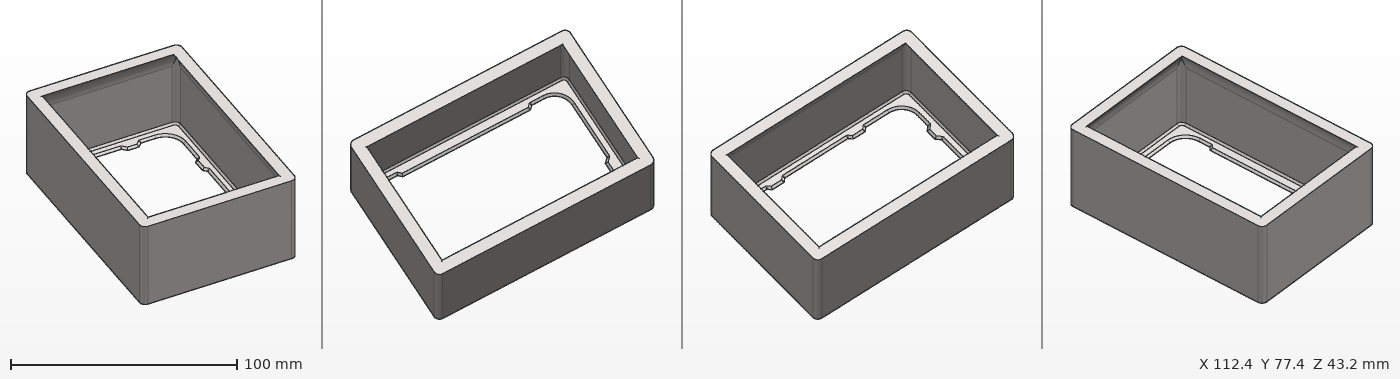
import cadquery as cq

LENGTH = 112.4
WIDTH = 77.4
HEIGHT = 43.2
CORNER_RADIUS = 2.8

WALL = 1.5
RIM_WALL = 6.0
RIM_CURVE_HEIGHT = 10.1
FLOOR = 1.0
FLOOR_CHAMFER = 1.0

WINDOW_INSET_X = 6.3
WINDOW_INSET_Y = 6.0
WINDOW_RADIUS = 9.0
BEVEL_ANGLE = 50

TAB_DEPTH = 1.7
BACK_TAB_SPACING = 45.6
BACK_TAB_TIP = 6.7
SIDE_TAB_DEPTH = 2.1
SIDE_TAB_Y = 11.5
SIDE_TAB_TIP = 5.6
FRONT_TAB_TIP = 65.6

CAVITY_LENGTH = LENGTH - 2 * WALL
CAVITY_WIDTH = WIDTH - 2 * WALL
CURVE_START = HEIGHT - RIM_CURVE_HEIGHT
RIM_OVERHANG = RIM_WALL - WALL
RIM_CURVE_RADIUS = (RIM_OVERHANG**2 + RIM_CURVE_HEIGHT**2) / (2 * RIM_OVERHANG)


def rim_cutter(half_span, run_length):
    """Prism along Y whose two sides lean inward along the rim curve."""
    half_opening = half_span - RIM_OVERHANG
    profile = (
        cq.Workplane("XZ")
        .moveTo(-half_span, 0)
        .lineTo(half_span, 0)
        .lineTo(half_span, CURVE_START)
        .radiusArc((half_opening, HEIGHT), -RIM_CURVE_RADIUS)
        .lineTo(-half_opening, HEIGHT)
        .radiusArc((-half_span, CURVE_START), -RIM_CURVE_RADIUS)
        .close()
    )
    return profile.extrude(run_length / 2, both=True)


def make_cavity():
    block = (
        cq.Workplane("XY", origin=(0, 0, FLOOR))
        .rect(CAVITY_LENGTH, CAVITY_WIDTH)
        .extrude(HEIGHT - FLOOR)
        .edges("|Z")
        .fillet(CORNER_RADIUS)
        .faces("<Z")
        .chamfer(FLOOR_CHAMFER)
    )
    side_curves = rim_cutter(CAVITY_LENGTH / 2, CAVITY_WIDTH)
    end_curves = rim_cutter(CAVITY_WIDTH / 2, CAVITY_LENGTH).rotate((0, 0, 0), (0, 0, 1), 90)
    return block.intersect(side_curves).intersect(end_curves)


def make_window():
    half_x = LENGTH / 2 - WINDOW_INSET_X
    half_y = WIDTH / 2 - WINDOW_INSET_Y
    corner_x = half_x - WINDOW_RADIUS
    corner_y = half_y - WINDOW_RADIUS

    def tab(center, tip, depth):
        """Outline points as (position along the edge, distance into the window)."""
        half_tip = tip / 2
        half_base = half_tip + depth
        return [
            (center - half_base, 0),
            (center - half_tip, depth),
            (center + half_tip, depth),
            (center + half_base, 0),
        ]

    front_tab = tab(0, FRONT_TAB_TIP, TAB_DEPTH)
    side_tab = tab(SIDE_TAB_Y, SIDE_TAB_TIP, SIDE_TAB_DEPTH)
    left_back_tab = tab(-BACK_TAB_SPACING / 2, BACK_TAB_TIP, TAB_DEPTH)
    right_back_tab = tab(BACK_TAB_SPACING / 2, BACK_TAB_TIP, TAB_DEPTH)

    front_edge = [(x, -half_y + inset) for x, inset in front_tab]
    right_edge = [(half_x - inset, y) for y, inset in side_tab]
    back_edge = [(x, half_y - inset) for x, inset in reversed(left_back_tab + right_back_tab)]
    left_edge = [(-half_x + inset, y) for y, inset in reversed(side_tab)]

    outline = (
        cq.Workplane("XY")
        .moveTo(-corner_x, -half_y)
        .polyline(front_edge + [(corner_x, -half_y)], includeCurrent=True)
        .radiusArc((half_x, -corner_y), -WINDOW_RADIUS)
        .polyline(right_edge + [(half_x, corner_y)], includeCurrent=True)
        .radiusArc((corner_x, half_y), -WINDOW_RADIUS)
        .polyline(back_edge + [(-corner_x, half_y)], includeCurrent=True)
        .radiusArc((-half_x, corner_y), -WINDOW_RADIUS)
        .polyline(left_edge + [(-half_x, -corner_y)], includeCurrent=True)
        .radiusArc((-corner_x, -half_y), -WINDOW_RADIUS)
        .close()
    )
    return outline.extrude(FLOOR, taper=-BEVEL_ANGLE)


frame = cq.Workplane("XY").rect(LENGTH, WIDTH).extrude(HEIGHT).edges("|Z").fillet(CORNER_RADIUS)
result = frame.cut(make_cavity()).cut(make_window())